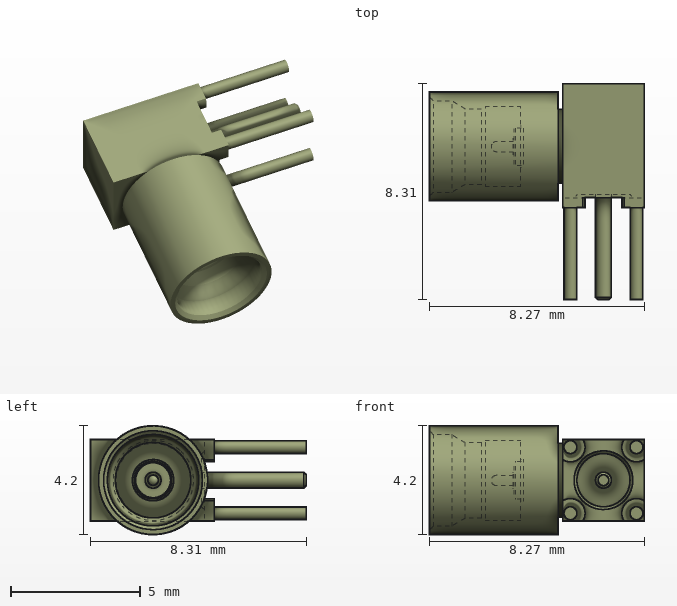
import cadquery as cq


overall_x = 8.27
overall_y = 8.31

block_width = 3.15
block_back = 2.41
block_total_depth = 4.77
foot_height = 0.38
foot_radius = 0.565
foot_pitch = 2.54

block_left = overall_x - block_width
block_center_x = block_left + block_width / 2
foot_face_y = block_back - block_total_depth
block_face_y = foot_face_y + foot_height
pin_end_y = block_back - overall_y

leg_radius = 0.25
center_pin_radius = 0.31
center_pin_chamfer = 0.1

recess_radius = 1.13
recess_floor_radius = 1.02
recess_depth = 0.125

barrel_diameter = 4.2
barrel_radius = barrel_diameter / 2
barrel_length = 4.95
neck_radius = 1.43

mouth_radius = 1.9
entry_radius = 1.76
land_radius = 1.455
chamber_radius = 1.545
mouth_chamfer_depth = 0.14
entry_depth = 0.85
land_start = 1.36
land_end = 1.99
chamber_start = 2.14
bore_depth = 3.49

moat_radius = 0.8
moat_depth = 0.125
insulator_radius = 0.72
insulator_height = 0.25
insulator_chamfer = 0.05
shoulder_radius = center_pin_radius
shoulder_height = 0.04
contact_radius = 0.2
contact_length = 0.83


def cylinder_along_x(radius, start, end):
    return cq.Workplane("YZ").workplane(offset=start).circle(radius).extrude(end - start)


def plane_facing_pins(y):
    """Workplane facing -Y at the given Y, centered on the block."""
    return cq.Workplane("XZ", origin=(block_center_x, y, 0))


def four_corner_cylinders(radius, start, end):
    """One cylinder per foot position, running from Y = start to Y = end."""
    corners = plane_facing_pins(start).rect(foot_pitch, foot_pitch, forConstruction=True).vertices()
    return corners.circle(radius).extrude(start - end)


def make_barrel():
    barrel = cylinder_along_x(barrel_radius, 0, barrel_length)
    neck = cylinder_along_x(neck_radius, barrel_length, block_left)
    bore_profile = [
        (0, 0),
        (0, mouth_radius),
        (mouth_chamfer_depth, entry_radius),
        (entry_depth, entry_radius),
        (land_start, land_radius),
        (land_end, land_radius),
        (chamber_start, chamber_radius),
        (bore_depth, chamber_radius),
        (bore_depth, 0),
    ]
    bore = cq.Workplane("XY").polyline(bore_profile).close().revolve(360, (0, 0, 0), (1, 0, 0))
    moat = cylinder_along_x(moat_radius, bore_depth, bore_depth + moat_depth)
    return barrel.union(neck).cut(bore).cut(moat)


def make_contact():
    insulator_face = bore_depth - insulator_height
    shoulder_face = insulator_face - shoulder_height
    dome_center = shoulder_face - contact_length + contact_radius
    seat = bore_depth + moat_depth

    insulator = cylinder_along_x(insulator_radius, insulator_face, seat)
    insulator = insulator.faces("<X").chamfer(insulator_chamfer)
    shoulder = cylinder_along_x(shoulder_radius, shoulder_face, seat)
    contact = cylinder_along_x(contact_radius, dome_center, seat)
    dome = cq.Workplane("XY").sphere(contact_radius).translate((dome_center, 0, 0))
    return insulator.union(shoulder).union(contact).union(dome)


def make_block():
    block_size = (block_width, block_total_depth, block_width)
    block_center = (block_center_x, block_back - block_total_depth / 2, 0)
    envelope = cq.Workplane("XY").box(*block_size).translate(block_center)

    foot_layer = plane_facing_pins(block_face_y).rect(block_width, block_width).extrude(foot_height)
    pads = four_corner_cylinders(foot_radius, block_face_y, foot_face_y)
    recess = (
        plane_facing_pins(block_face_y)
        .circle(recess_radius)
        .workplane(offset=-recess_depth)
        .circle(recess_floor_radius)
        .loft(ruled=True)
    )
    return envelope.cut(foot_layer.cut(pads)).cut(recess)


def make_pins():
    legs = four_corner_cylinders(leg_radius, foot_face_y, pin_end_y)
    center_pin_root = block_face_y + recess_depth
    center_pin = plane_facing_pins(center_pin_root).circle(center_pin_radius)
    center_pin = center_pin.extrude(center_pin_root - pin_end_y)
    center_pin = center_pin.faces("<Y").chamfer(center_pin_chamfer)
    return legs.union(center_pin)


result = make_block().union(make_barrel()).union(make_contact()).union(make_pins())